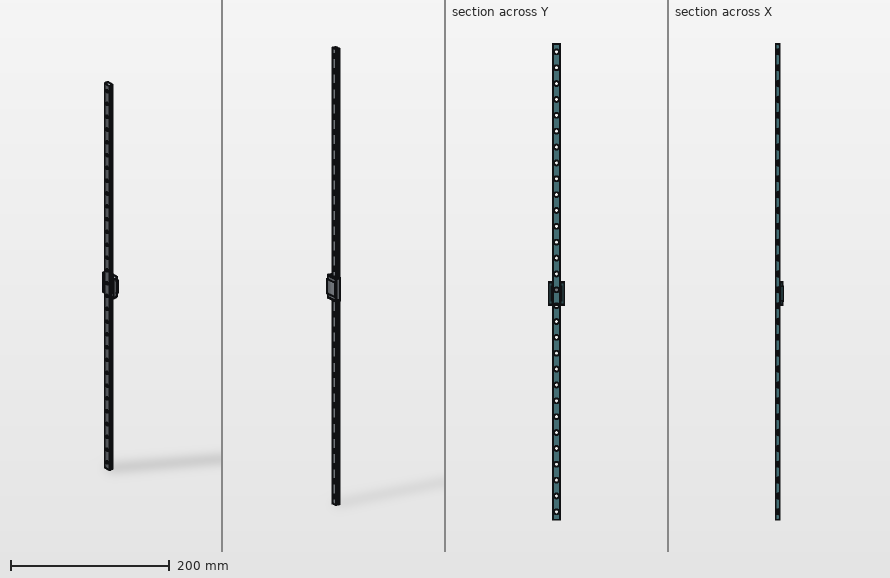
import cadquery as cq


rail_length = 600.0
rail_width = 9.0
rail_height = 5.5
rail_bottom = -5.0
rail_top = rail_bottom + rail_height
waist_width = 6.5
waist_bottom = -2.5
waist_top = -0.5
waist_slope = 0.5
hole_pitch = 20.0
hole_count = round(rail_length / hole_pitch)
hole_diameter = 3.8
counterbore_diameter = 6.0
counterbore_depth = 3.3

overall_height = 10.0
carriage_width = 20.0
carriage_length = 30.0
carriage_top = rail_bottom + overall_height
carriage_bottom = -2.6
carriage_centre = -14.8
wing_top = 2.5
running_gap = 0.5
channel_width = rail_width + 2 * running_gap
channel_top = rail_top + running_gap

block_length = 19.0
block_leg_width = 13.6
block_chamfer = 0.2

seal_thickness = 1.2
housing_length = carriage_length - 2 * seal_thickness
cap_top = 4.3
cap_top_width = 18.0


def symmetric_prism(half_outline, centre_z, length):
    """Extrude along Z a closed outline made of right-hand points and their mirror images."""
    mirrored = [(-x, y) for x, y in reversed(half_outline)]
    start = cq.Workplane("XY").workplane(offset=centre_z - length / 2)
    return start.polyline(half_outline + mirrored).close().extrude(length)


def make_rail():
    """Waisted rail with a row of counterbored screw holes."""
    half_outline = [
        (rail_width / 2, rail_bottom),
        (rail_width / 2, waist_bottom),
        (waist_width / 2, waist_bottom + waist_slope),
        (waist_width / 2, waist_top - waist_slope),
        (rail_width / 2, waist_top),
        (rail_width / 2, rail_top),
    ]
    rail = symmetric_prism(half_outline, 0, rail_length)
    first_hole = (hole_pitch - rail_length) / 2
    hole_places = [(0, first_hole + i * hole_pitch) for i in range(hole_count)]
    hole_starts = cq.Workplane("XZ", origin=(0, rail_top, 0)).pushPoints(hole_places)
    holes = hole_starts.circle(hole_diameter / 2).extrude(rail_height)
    counterbores = hole_starts.circle(counterbore_diameter / 2).extrude(counterbore_depth)
    return rail.cut(holes).cut(counterbores)


def make_channel():
    """Clearance for the rail, running the whole length of the carriage."""
    half_outline = [(channel_width / 2, rail_bottom), (channel_width / 2, channel_top)]
    return symmetric_prism(half_outline, carriage_centre, carriage_length)


def make_block():
    """Full-width top slab with two inner legs that straddle the rail."""
    half_outline = [
        (block_leg_width / 2, carriage_bottom),
        (block_leg_width / 2, wing_top),
        (carriage_width / 2, wing_top),
        (carriage_width / 2, carriage_top - block_chamfer),
        (carriage_width / 2 - block_chamfer, carriage_top),
    ]
    return symmetric_prism(half_outline, carriage_centre, block_length).cut(make_channel())


def make_cap_section(centre_z, length):
    """Stretch of the bevelled section shared by the housing and the seals."""
    half_outline = [
        (carriage_width / 2, carriage_bottom),
        (carriage_width / 2, wing_top),
        (cap_top_width / 2, cap_top),
    ]
    return symmetric_prism(half_outline, centre_z, length).cut(make_channel())


def make_housing(block):
    """Two end caps joined by side wings below the slab of the block."""
    return make_cap_section(carriage_centre, housing_length).cut(block)


def make_seal(side):
    """Thin end plate; side is -1 for the lower end and 1 for the upper end."""
    centre_offset = (housing_length + seal_thickness) / 2
    return make_cap_section(carriage_centre + side * centre_offset, seal_thickness)


rail = make_rail()
block = make_block()
housing = make_housing(block)
seals = [make_seal(side) for side in (-1, 1)]

result = cq.Compound.makeCompound(
    [rail.val(), block.val(), housing.val(), *[seal.val() for seal in seals]]
)